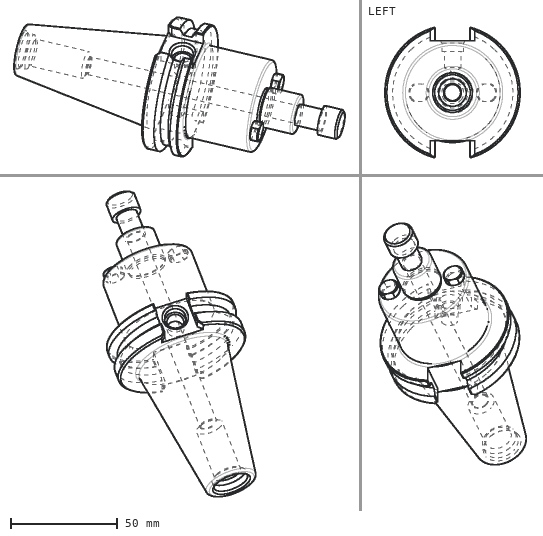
import cadquery as cq
import math

overall_length = 157.6

taper_ratio = 7 / 24
gauge_x = 68.0
gauge_d = 44.5
small_end_round = 1.3

flange_x0 = 69.2
flange_x1 = 87.0
flange_d = 63.5
flange_front_chamfer = 1.0
flange_back_chamfer = 0.5
groove_x = 79.5
groove_floor_d = 56.5
groove_floor_width = 3.8
groove_half_angle = 30

slot_width = 16.4
slot_top_z = 24.5
slot_bottom_z = -22.5
slot_flare = 2.2
slot_edge_chamfer = 0.5

slot_hole_sink_d = 12.3
slot_hole_d = 10.1
slot_hole_depth = 5.0
slot_hole_pilot_d = 7.9
slot_hole_pilot_depth = 12.6
drill_half_angle = 59

body_x1 = 119.0
body_d = gauge_d
body_round = 1.0
body_fillet = 1.1

neck_d = 18.0
neck_length = 1.1
pilot_d = 19.0
pilot_x0 = 120.8
pilot_x1 = 136.4
pilot_round = 1.0

bore_mouth_d = 18.6
bore_lead_d = 16.7
bore_lead_depth = 4.3
bore_d = 13.0
bore_depth = 31.5
mouth_chamfer_depth = 1.1
bore_cone_length = 1.4

screw_thread_d = 8.4
screw_tip_d = 7.5
screw_shank_d = 10.2
screw_head_d = 14.2
screw_head_x0 = 148.2
screw_head_chamfer = 1.0

lug_d = 9.5
lug_flats = 8.4
lug_length = 4.1
lug_chamfer = 0.5
lug_offset = 16.0

drill_slope = math.tan(math.radians(drill_half_angle))
bore_tip_x = bore_depth + (bore_d - screw_thread_d) / 2 / drill_slope
small_end_d = gauge_d - gauge_x * taper_ratio


def holder_blank():
    """Taper, flange, body and pilot as one turned solid, without its holes."""
    gauge_fillet = flange_x0 - gauge_x
    profile = (
        cq.Workplane("XY")
        .lineTo(0, small_end_d / 2)
        .lineTo(gauge_x, gauge_d / 2)
        .radiusArc((flange_x0, gauge_d / 2 + gauge_fillet), -gauge_fillet)
        .lineTo(flange_x0, flange_d / 2)
        .lineTo(flange_x1, flange_d / 2)
        .lineTo(flange_x1, body_d / 2 + body_fillet)
        .radiusArc((flange_x1 + body_fillet, body_d / 2), -body_fillet)
        .lineTo(body_x1, body_d / 2)
        .lineTo(body_x1, neck_d / 2)
        .lineTo(body_x1 + neck_length, neck_d / 2)
        .lineTo(pilot_x0, pilot_d / 2)
        .lineTo(pilot_x1, pilot_d / 2)
        .lineTo(pilot_x1, 0)
        .close()
    )
    blank = profile.revolve(360, (0, 0, 0), (1, 0, 0))
    blank = rim_at(blank, 0, small_end_d).fillet(small_end_round)
    blank = rim_at(blank, body_x1, body_d).fillet(body_round)
    blank = rim_at(blank, pilot_x1, pilot_d).fillet(pilot_round)
    blank = rim_at(blank, flange_x0, flange_d).chamfer(flange_front_chamfer)
    return rim_at(blank, flange_x1, flange_d).chamfer(flange_back_chamfer)


def rim_at(solid, x, diameter):
    """The circular edge of the given diameter around the X axis at x."""
    r = diameter / 2
    margin = 0.08
    rim_box = cq.selectors.BoxSelector(
        (x - margin, -r - margin, -r - margin), (x + margin, r + margin, r + margin), boundingbox=True
    )
    outer = solid.edges(rim_box).edges(cq.selectors.RadiusNthSelector(-1))
    return outer


def v_groove():
    """Ring that cuts the gripper groove around the flange."""
    floor_half = groove_floor_width / 2
    depth = flange_d / 2 - groove_floor_d / 2
    rim_half = floor_half + depth * math.tan(math.radians(groove_half_angle))
    return (
        cq.Workplane("XY")
        .moveTo(groove_x - rim_half, flange_d / 2)
        .lineTo(groove_x - floor_half, groove_floor_d / 2)
        .lineTo(groove_x + floor_half, groove_floor_d / 2)
        .lineTo(groove_x + rim_half, flange_d / 2)
        .close()
        .revolve(360, (0, 0, 0), (1, 0, 0))
    )


def drive_slot(floor_z):
    """Slot across the flange from floor_z outward, its mouth flared on the taper side."""
    outward = math.copysign(flange_d / 2, floor_z) - floor_z
    half = slot_width / 2
    return (
        cq.Workplane("XY", origin=(0, 0, floor_z))
        .moveTo(flange_x0, half + slot_flare)
        .lineTo(flange_x0 + slot_flare, half)
        .lineTo(flange_x1, half)
        .lineTo(flange_x1, -half)
        .lineTo(flange_x0 + slot_flare, -half)
        .lineTo(flange_x0, -half - slot_flare)
        .close()
        .extrude(outward)
    )


def chamfer_slot_edges(holder):
    """Chamfer the edges where the slot walls and flares meet the flange's outer surface."""
    half = slot_width / 2
    edge_z = math.sqrt((flange_d / 2) ** 2 - half**2)
    wall_x = (flange_x0 + slot_flare + flange_x1) / 2
    flare_mid = slot_flare / 2
    points = []
    for y_side in (-1, 1):
        for z in (-edge_z, edge_z):
            points.append((wall_x, y_side * half, z))
            points.append((flange_x0 + flare_mid, y_side * (half + flare_mid), z))
    edges = holder.newObject([])
    for point in points:
        edges = edges.add(holder.edges(cq.selectors.NearestToPointSelector(point)))
    return edges.chamfer(slot_edge_chamfer)


def slot_hole():
    """Countersunk, stepped hole with a drill point, going down from the +Z slot floor."""
    sink_depth = (slot_hole_sink_d - slot_hole_d) / 2
    point_length = slot_hole_pilot_d / 2 / drill_slope
    return (
        cq.Workplane("XZ", origin=(groove_x, 0, slot_top_z))
        .lineTo(slot_hole_sink_d / 2, 0)
        .lineTo(slot_hole_d / 2, -sink_depth)
        .lineTo(slot_hole_d / 2, -slot_hole_depth)
        .lineTo(slot_hole_pilot_d / 2, -slot_hole_depth)
        .lineTo(slot_hole_pilot_d / 2, -slot_hole_pilot_depth)
        .lineTo(0, -slot_hole_pilot_depth - point_length)
        .close()
        .revolve(360, (0, 0, 0), (0, 1, 0))
    )


def axial_bore():
    """Drawbar bore from the small end, continuing as the screw hole through the pilot."""
    return (
        cq.Workplane("XY")
        .lineTo(0, bore_mouth_d / 2)
        .lineTo(mouth_chamfer_depth, bore_lead_d / 2)
        .lineTo(bore_lead_depth, bore_lead_d / 2)
        .lineTo(bore_lead_depth + bore_cone_length, bore_d / 2)
        .lineTo(bore_depth, bore_d / 2)
        .lineTo(bore_tip_x, screw_thread_d / 2)
        .lineTo(pilot_x1, screw_thread_d / 2)
        .lineTo(pilot_x1, 0)
        .close()
        .revolve(360, (0, 0, 0), (1, 0, 0))
    )


def make_holder():
    holder = holder_blank()
    for floor_z in (slot_top_z, slot_bottom_z):
        holder = holder.cut(drive_slot(floor_z))
    holder = chamfer_slot_edges(holder)
    return holder.cut(v_groove()).cut(slot_hole()).cut(axial_bore())


def make_screw():
    """Clamp screw: thread filling the screw hole, shank shouldered on the pilot, and head."""
    tip_chamfer = (screw_thread_d - screw_tip_d) / 2
    return (
        cq.Workplane("XY")
        .moveTo(bore_tip_x, 0)
        .lineTo(bore_tip_x, screw_tip_d / 2)
        .lineTo(bore_tip_x + tip_chamfer, screw_thread_d / 2)
        .lineTo(pilot_x1, screw_thread_d / 2)
        .lineTo(pilot_x1, screw_shank_d / 2)
        .lineTo(screw_head_x0, screw_shank_d / 2)
        .lineTo(screw_head_x0, screw_head_d / 2)
        .lineTo(overall_length - screw_head_chamfer, screw_head_d / 2)
        .lineTo(overall_length, screw_head_d / 2 - screw_head_chamfer)
        .lineTo(overall_length, 0)
        .close()
        .revolve(360, (0, 0, 0), (1, 0, 0))
    )


def make_lug(y):
    """Round drive lug with two flats, standing on the body's end face at height y."""
    lug = (
        cq.Workplane("YZ", origin=(body_x1, y, 0))
        .circle(lug_d / 2)
        .extrude(lug_length)
        .faces("<X or >X")
        .chamfer(lug_chamfer)
    )
    flats = cq.Workplane("YZ", origin=(body_x1, y, 0)).rect(lug_d, lug_flats).extrude(lug_length)
    return lug.intersect(flats)


holder = make_holder()
screw = make_screw()
lugs = [make_lug(side * lug_offset) for side in (-1, 1)]

result = cq.Compound.makeCompound([holder.val(), screw.val(), *[lug.val() for lug in lugs]])